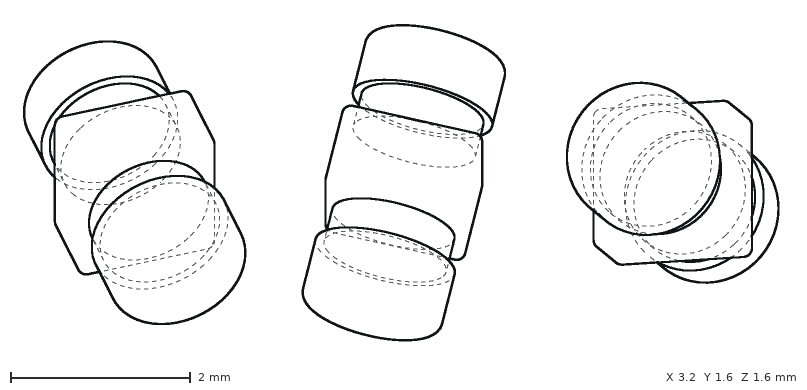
import cadquery as cq

length = 3.2
width = 1.6
edge_radius = 0.1
cap_length = 0.7
block_length = 1.0
body_diameter = width - 2 * edge_radius


def cylinder_along_x(start, cylinder_length, diameter):
    return cq.Workplane("YZ", origin=(start, 0, 0)).circle(diameter / 2).extrude(cylinder_length)


body = cylinder_along_x(cap_length - length / 2, length - 2 * cap_length, body_diameter)

left_cap = cylinder_along_x(-length / 2, cap_length, width).faces("<X").edges().fillet(edge_radius)
right_cap = left_cap.mirror("YZ")

block = cq.Workplane("XY").box(block_length, width, width).edges().fillet(edge_radius)

result = body.union(left_cap).union(right_cap).union(block)